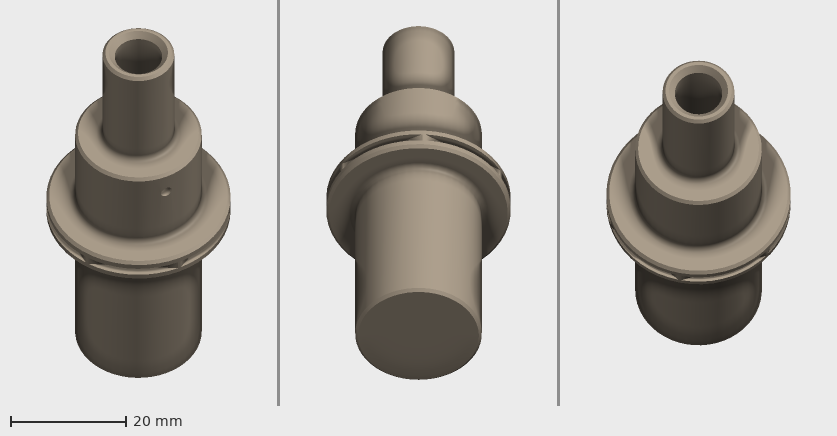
import cadquery as cq
import math

total_height = 72.1
shoulder_z = 51.5
flange_top_z = 35.5
flange_thickness = 4.5
flange_bottom_z = flange_top_z - flange_thickness

body_radius = 22.0 / 2
nozzle_radius = 12.5 / 2
flange_radius = 32.0 / 2

edge_chamfer = 0.5
root_fillet = 1.0

groove_across_flats = 28.0
groove_width = 1.5
hex_sides = 6

bore_radius = 8.2 / 2
bore_countersink = 1.0
drill_point_angle = 118.0
cross_hole_diameter = 2.0
cross_hole_z = 47.1
bore_floor_z = cross_hole_z - cross_hole_diameter

cut_overrun = 0.7


def disc(radius, bottom_z, top_z):
    return cq.Workplane("XY").workplane(offset=bottom_z).circle(radius).extrude(top_z - bottom_z)


def root_ring(radius, face_z, direction):
    """Concave fillet around a cylinder where it meets a flat face; direction is +1 upward, -1 downward."""
    outer_radius = radius + root_fillet
    tip_z = face_z + direction * root_fillet
    arc_offset = root_fillet * (1 - math.sqrt(0.5))
    return (
        cq.Workplane("XZ")
        .moveTo(0, face_z)
        .lineTo(outer_radius, face_z)
        .threePointArc((radius + arc_offset, face_z + direction * arc_offset), (radius, tip_z))
        .lineTo(0, tip_z)
        .close()
        .revolve(360, (0, 0), (0, 1))
    )


def turned_body():
    body = disc(body_radius, 0, shoulder_z).edges().chamfer(edge_chamfer)
    nozzle = disc(nozzle_radius, shoulder_z - root_fillet, total_height).edges(">Z").chamfer(edge_chamfer)
    flange = disc(flange_radius, flange_bottom_z, flange_top_z).edges().chamfer(edge_chamfer)
    return (
        body.union(nozzle)
        .union(flange)
        .union(root_ring(nozzle_radius, shoulder_z, 1))
        .union(root_ring(body_radius, flange_top_z, 1))
        .union(root_ring(body_radius, flange_bottom_z, -1))
    )


def hex_groove():
    """Ring that leaves a hexagonal core, two of its flats facing +Y and -Y."""
    groove_bottom_z = (flange_top_z + flange_bottom_z - groove_width) / 2
    corner_diameter = groove_across_flats / math.cos(math.pi / hex_sides)
    return (
        cq.Workplane("XY")
        .workplane(offset=groove_bottom_z)
        .circle(flange_radius + cut_overrun)
        .polygon(hex_sides, corner_diameter)
        .extrude(groove_width)
    )


def bore():
    """Countersunk blind bore from the top, ending in a drill-point cone."""
    cone_depth = bore_radius / math.tan(math.radians(drill_point_angle / 2))
    return (
        cq.Workplane("XZ")
        .moveTo(0, total_height)
        .lineTo(bore_radius + bore_countersink, total_height)
        .lineTo(bore_radius, total_height - bore_countersink)
        .lineTo(bore_radius, bore_floor_z)
        .lineTo(0, bore_floor_z - cone_depth)
        .close()
        .revolve(360, (0, 0), (0, 1))
    )


def cross_hole():
    """Radial hole through the +X wall of the body, reaching the bore axis."""
    return (
        cq.Workplane("YZ")
        .center(0, cross_hole_z)
        .circle(cross_hole_diameter / 2)
        .extrude(body_radius + cut_overrun)
    )


result = turned_body().cut(hex_groove()).cut(bore()).cut(cross_hole())